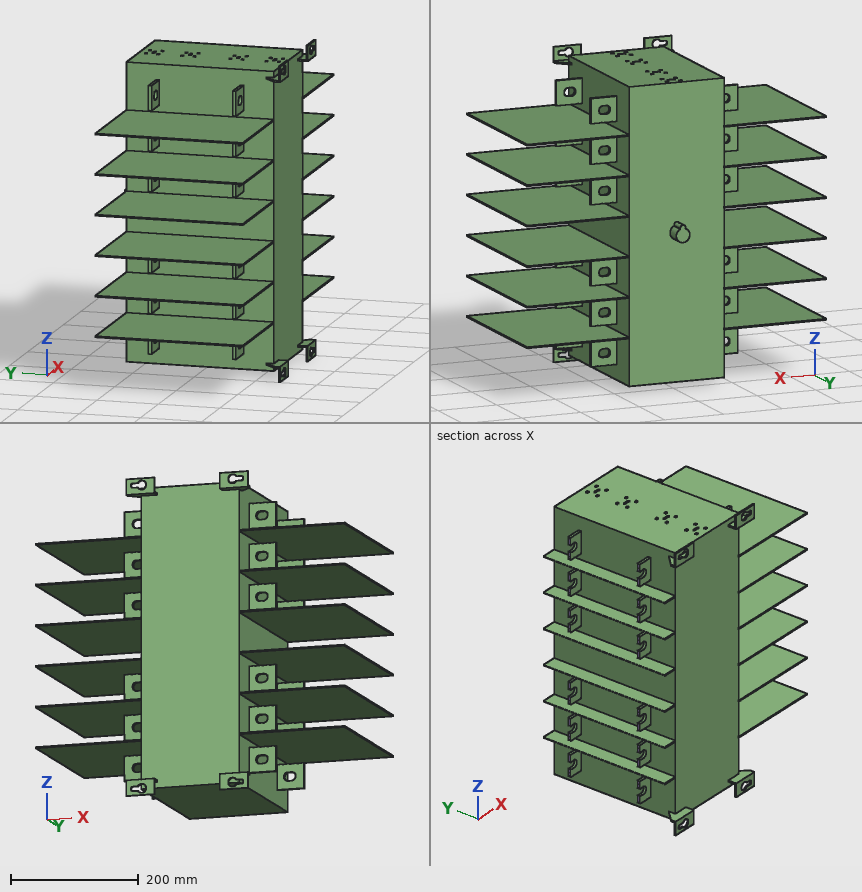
import cadquery as cq

CASE_WIDTH = 162.0
CASE_DEPTH = 240.0
CASE_HEIGHT = 480.5
SIDES = (-1, 1)

FIN_SPAN = 509.0
FIN_THICKNESS = 2.0
FIN_COUNT = 6
BAR_STACK_HEIGHT = 390.0
FIN_PITCH = BAR_STACK_HEIGHT / FIN_COUNT

BAR_SPAN = 250.0
BAR_THICKNESS = 5.0
BAR_HEIGHT = 40.0
BAR_Y_SPACING = 137.5
BAR_LEVELS = (-3, -2, -1, 1, 2, 3)
BAR_SLOT_X = 102.0
BAR_SLOT_LENGTH = 19.5
BAR_SLOT_WIDTH = 13.5

FOOT_OUTER_X = 100.5
FOOT_WIDTH = 46.5
FOOT_TOP_Z = 253.0
FOOT_HEIGHT = 25.0
FOOT_PROJECTION = 16.0
FOOT_THICKNESS = 2.5
FOOT_STRAIGHT = 9.0
KEYHOLE_X = 75.0
KEYHOLE_DROP = 10.5
KEYHOLE_RADIUS = 7.0
KEYHOLE_SLOT_WIDTH = 7.0
KEYHOLE_SLOT_REACH = 14.0

SHAFT_DIAMETER = 23.0
SHAFT_LENGTH = 25.0
KEY_WIDTH = 9.0
KEY_TOP = 17.0

CLUSTER_Y = (-98.0, -39.0, 39.0, 98.0)
CORNER_SLOT_LENGTH = 4.0
CORNER_SPACING_X = 23.0
CORNER_SPACING_Y = 20.0
MIDDLE_SLOT_LENGTH = 12.5
SLOT_WIDTH = 3.0
SLOT_DEPTH = 2.5

CASE_FRONT = -CASE_DEPTH / 2
CASE_BACK = CASE_DEPTH / 2
CASE_TOP = CASE_HEIGHT / 2


def make_fins():
    places = [(0, 0, (i - (FIN_COUNT - 1) / 2) * FIN_PITCH) for i in range(FIN_COUNT)]
    fin = cq.Workplane().box(FIN_SPAN, CASE_DEPTH, FIN_THICKNESS).val()
    return cq.Workplane().pushPoints(places).eachpoint(lambda place: fin.moved(place))


def make_bars():
    slots = (
        cq.Workplane("XZ")
        .pushPoints([(side * BAR_SLOT_X, 0) for side in SIDES])
        .slot2D(BAR_SLOT_LENGTH, BAR_SLOT_WIDTH)
        .extrude(BAR_THICKNESS, both=True)
    )
    bar = cq.Workplane().box(BAR_SPAN, BAR_THICKNESS, BAR_HEIGHT).cut(slots).val()
    places = [
        (0, side * BAR_Y_SPACING / 2, level * FIN_PITCH)
        for side in SIDES
        for level in BAR_LEVELS
    ]
    return cq.Workplane().pushPoints(places).eachpoint(lambda place: bar.moved(place))


def make_foot():
    """Foot at the top of the +X side: an upright plate with a leg running into the case."""
    foot_front = CASE_FRONT - FOOT_PROJECTION
    foot_bottom = FOOT_TOP_Z - FOOT_HEIGHT
    inner_x = FOOT_OUTER_X - FOOT_WIDTH
    wall_x = CASE_WIDTH / 2
    bevel_start_y = foot_front + FOOT_STRAIGHT
    bevel_end_y = bevel_start_y + FOOT_OUTER_X - wall_x
    leg = (
        cq.Workplane("XY", origin=(0, 0, foot_bottom))
        .moveTo(inner_x, foot_front)
        .lineTo(FOOT_OUTER_X, foot_front)
        .lineTo(FOOT_OUTER_X, bevel_start_y)
        .lineTo(wall_x, bevel_end_y)
        .lineTo(inner_x, bevel_end_y)
        .close()
        .extrude(FOOT_THICKNESS)
    )
    upright = cq.Workplane().box(FOOT_WIDTH, FOOT_THICKNESS, FOOT_HEIGHT, centered=False)
    upright = upright.translate((inner_x, foot_front, foot_bottom))
    keyhole_plane = cq.Workplane("XZ", origin=(KEYHOLE_X, foot_front, FOOT_TOP_Z - KEYHOLE_DROP))
    round_hole = keyhole_plane.circle(KEYHOLE_RADIUS).extrude(-FOOT_THICKNESS)
    neck = (
        keyhole_plane.center(KEYHOLE_SLOT_REACH / 2, 0)
        .slot2D(KEYHOLE_SLOT_REACH + KEYHOLE_SLOT_WIDTH, KEYHOLE_SLOT_WIDTH)
        .extrude(-FOOT_THICKNESS)
    )
    return leg.union(upright.cut(round_hole).cut(neck))


def make_shaft():
    back = cq.Workplane("XZ", origin=(0, CASE_BACK, 0))
    key_center_z = KEY_TOP - KEY_WIDTH / 2
    round_bar = back.circle(SHAFT_DIAMETER / 2).extrude(-SHAFT_LENGTH)
    key_round = back.center(0, key_center_z).circle(KEY_WIDTH / 2).extrude(-SHAFT_LENGTH)
    key_body = back.center(0, key_center_z / 2).rect(KEY_WIDTH, key_center_z).extrude(-SHAFT_LENGTH)
    return round_bar.union(key_round).union(key_body)


def make_top_slots():
    top = cq.Workplane("XY", origin=(0, 0, CASE_TOP))
    corners = [
        (side_x * CORNER_SPACING_X / 2, y + side_y * CORNER_SPACING_Y / 2)
        for y in CLUSTER_Y
        for side_x in SIDES
        for side_y in SIDES
    ]
    corner_slots = top.pushPoints(corners).rect(CORNER_SLOT_LENGTH, SLOT_WIDTH).extrude(-SLOT_DEPTH)
    middles = [(0, y) for y in CLUSTER_Y]
    middle_slots = top.pushPoints(middles).slot2D(MIDDLE_SLOT_LENGTH, SLOT_WIDTH).extrude(-SLOT_DEPTH)
    return corner_slots.union(middle_slots)


case = cq.Workplane().box(CASE_WIDTH, CASE_DEPTH, CASE_HEIGHT)
right_top_foot = make_foot()
right_feet = right_top_foot.union(right_top_foot.mirror("XY"))
feet = right_feet.union(right_feet.mirror("YZ"))

result = case.union(make_fins()).union(make_bars()).union(feet).union(make_shaft())
result = result.cut(make_top_slots())